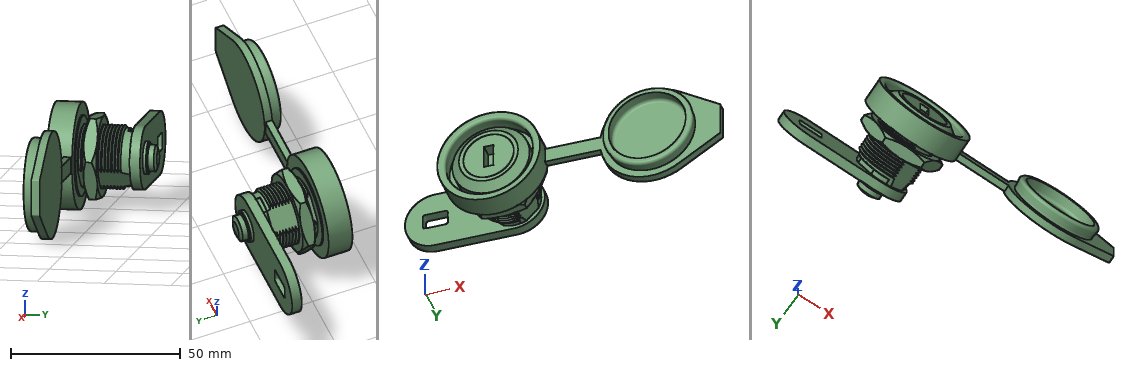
import cadquery as cq
import math


HEAD_BACK = 8.0
HEAD_RADIUS = 12.0
HEAD_FACE_RADIUS = 9.2
HEAD_CONE_DEPTH = 2.2
PLUG_RADIUS = 7.8
PLUG_RECESS = 0.1
KEYWAY_WIDTH = 2.9
KEYWAY_HEIGHT = 7.5
KEYWAY_DEPTH = 4.2

CREST_RADIUS = 9.5
ROOT_RADIUS = 8.8
PITCH = 1.0
CREST_COUNT = 13
FIRST_CREST_Y = 8.5
NECK_END_RADIUS = 8.5
FLAT_OFFSET = 8.0

STOP_START = 22.0
STOP_RADIUS = 8.4
STOP_FLAT_OFFSET = 7.7
STOP_RIM_START_X = 2.1

CAM_FRONT = 23.7
CAM_THICKNESS = 3.1
CAM_END_RADIUS = 9.5
CAM_REACH = 24.6
CAM_SLOT_LENGTH = 7.8
CAM_SLOT_HEIGHT = 5.0
CAM_SLOT_CORNER = 0.8

SCREW_END = 30.6
WASHER_RADIUS = 4.9
WASHER_THICKNESS = 0.9
COLLAR_RADIUS = 4.3
COLLAR_THICKNESS = 0.4
SCREW_RADIUS = 4.0
SCREW_BEVEL_DEPTH = 0.6
SCREW_BEVEL_WIDTH = 1.6

NUT_FRONT = 10.2
NUT_THICKNESS = 4.0
NUT_ACROSS_FLATS = 24.0
NUT_FACE_RADIUS = 12.0
NUT_TURN = 2.5
NUT_BEVEL_ANGLE = 30.0

RING_RADIUS = 16.0
RING_BACK = 7.6
RING_BORE = 13.6
RING_MOUTH_FILLET = 0.9
RING_CONE_BACK = 3.3
RING_FLOOR = 5.6
LID_X = 48.9
LID_FRONT = 5.1
TAB_REACH = 21.5
TAB_HALF_HEIGHT = 5.3
TAB_CORNER = 0.6
STRAP_HEIGHT = 4.8
STRAP_BACK = 7.3
BOSS_RADIUS = 14.0
BOSS_FRONT = 1.3
BOSS_ROUND = 0.9
BOSS_NECK_RADIUS = 13.7
BOSS_NECK_LENGTH = 0.7
POCKET_RADIUS = 12.0
POCKET_FILLET = 1.0


def turned(points):
    """Revolve a closed (radius, y) outline about the Y axis."""
    return cq.Workplane("XY").polyline(points).close().revolve(360, (0, 0), (0, 1))


def sketch_at(y):
    """Plane across the lock axis, with +X right and +Z up; a negative extrude goes to +Y."""
    return cq.Workplane("XZ", origin=(0, y, 0))


def disc(radius, start, end):
    return sketch_at(start).circle(radius).extrude(start - end)


def trimmed_flat(body, offset, angle):
    """Cut away everything farther than offset from the axis in one direction of the XZ plane."""
    size = 2 * CREST_RADIUS
    length = CAM_FRONT - HEAD_BACK
    cutter = cq.Workplane("XY").box(size, length, size, centered=(False, False, True))
    cutter = cutter.translate((offset, HEAD_BACK, 0)).rotate((0, 0, 0), (0, 1, 0), -angle)
    return body.cut(cutter)


def lock_head():
    head = turned([
        (0, PLUG_RECESS),
        (PLUG_RADIUS, PLUG_RECESS),
        (PLUG_RADIUS, 0),
        (HEAD_FACE_RADIUS, 0),
        (HEAD_RADIUS, HEAD_CONE_DEPTH),
        (HEAD_RADIUS, HEAD_BACK),
        (0, HEAD_BACK),
    ])
    keyway = sketch_at(0).rect(KEYWAY_WIDTH, KEYWAY_HEIGHT).extrude(-KEYWAY_DEPTH)
    return head.cut(keyway)


def threaded_barrel():
    """Ring-shaped thread ridges and a plain tapered neck, with a flat on two opposite sides."""
    outline = [(0, HEAD_BACK), (ROOT_RADIUS, HEAD_BACK)]
    for i in range(CREST_COUNT):
        crest_y = FIRST_CREST_Y + i * PITCH
        if i > 0:
            outline.append((ROOT_RADIUS, crest_y - PITCH / 2))
        outline.append((CREST_RADIUS, crest_y))
    thread_end = crest_y + PITCH / 2
    outline += [(ROOT_RADIUS, thread_end), (NECK_END_RADIUS, CAM_FRONT), (0, CAM_FRONT)]
    barrel = turned(outline)
    for angle in (135, 315):
        barrel = trimmed_flat(barrel, FLAT_OFFSET, angle)
    return barrel.cut(stop_notch())


def stop_notch():
    """Space cut from the barrel rim, leaving a disc with two flats that limits the turn."""
    stop = disc(STOP_RADIUS, STOP_START, CAM_FRONT)
    for angle in (135, 225):
        stop = trimmed_flat(stop, STOP_FLAT_OFFSET, angle)
    notch = trimmed_flat(disc(HEAD_RADIUS, STOP_START, CAM_FRONT), STOP_RIM_START_X, 0)
    return notch.cut(stop)


def cam():
    length = CAM_REACH + 2 * CAM_END_RADIUS
    plate = (
        sketch_at(CAM_FRONT)
        .center(-CAM_REACH / 2, 0)
        .slot2D(length, 2 * CAM_END_RADIUS)
        .extrude(-CAM_THICKNESS)
    )
    slot = (
        sketch_at(CAM_FRONT)
        .center(-CAM_REACH, 0)
        .rect(CAM_SLOT_LENGTH, CAM_SLOT_HEIGHT)
        .extrude(-CAM_THICKNESS)
        .edges("|Y")
        .fillet(CAM_SLOT_CORNER)
    )
    return plate.cut(slot)


def cam_screw():
    cam_back = CAM_FRONT + CAM_THICKNESS
    washer_back = cam_back + WASHER_THICKNESS
    collar_back = washer_back + COLLAR_THICKNESS
    return turned([
        (0, cam_back),
        (WASHER_RADIUS, cam_back),
        (WASHER_RADIUS, washer_back),
        (COLLAR_RADIUS, washer_back),
        (COLLAR_RADIUS, collar_back),
        (SCREW_RADIUS, collar_back),
        (SCREW_RADIUS, SCREW_END - SCREW_BEVEL_DEPTH),
        (SCREW_RADIUS - SCREW_BEVEL_WIDTH, SCREW_END),
        (0, SCREW_END),
    ])


def lock_body():
    body = lock_head()
    for piece in (threaded_barrel(), cam(), cam_screw()):
        body = body.union(piece)
    return body


def hexagon_nut():
    corner_radius = NUT_ACROSS_FLATS / math.sqrt(3)
    bevel_depth = (corner_radius - NUT_FACE_RADIUS) * math.tan(math.radians(NUT_BEVEL_ANGLE))
    nut_back = NUT_FRONT + NUT_THICKNESS
    hexagon = (
        sketch_at(NUT_FRONT)
        .polygon(6, 2 * corner_radius)
        .extrude(-NUT_THICKNESS)
        .rotate((0, 0, 0), (0, 1, 0), -NUT_TURN)
    )
    beveled_blank = turned([
        (CREST_RADIUS, NUT_FRONT),
        (NUT_FACE_RADIUS, NUT_FRONT),
        (corner_radius, NUT_FRONT + bevel_depth),
        (corner_radius, nut_back - bevel_depth),
        (NUT_FACE_RADIUS, nut_back),
        (CREST_RADIUS, nut_back),
    ])
    return hexagon.intersect(beveled_blank)


def cover_ring():
    """Ring around the lock head, with a rounded mouth, a widening bore and a floor."""
    ring = disc(RING_RADIUS, 0, RING_BACK).cut(disc(HEAD_RADIUS, 0, RING_BACK))
    mouth_radius = RING_BORE + RING_MOUTH_FILLET
    arc_inset = RING_MOUTH_FILLET * (1 - math.sqrt(0.5))
    cavity = (
        cq.Workplane("XY")
        .lineTo(mouth_radius, 0)
        .threePointArc((RING_BORE + arc_inset, arc_inset), (RING_BORE, RING_MOUTH_FILLET))
        .lineTo(BOSS_RADIUS, RING_CONE_BACK)
        .lineTo(BOSS_RADIUS, RING_FLOOR)
        .lineTo(0, RING_FLOOR)
        .close()
        .revolve(360, (0, 0), (0, 1))
    )
    return ring.cut(cavity)


def lid_plate():
    """Round plate whose edge runs tangentially into a blunt pull tab."""
    tab_distance = math.hypot(TAB_REACH, TAB_HALF_HEIGHT)
    tangent_angle = math.atan2(TAB_HALF_HEIGHT, TAB_REACH) + math.acos(RING_RADIUS / tab_distance)
    tangent_x = RING_RADIUS * math.cos(tangent_angle)
    tangent_z = RING_RADIUS * math.sin(tangent_angle)
    plate = (
        sketch_at(LID_FRONT)
        .moveTo(tangent_x, tangent_z)
        .threePointArc((-RING_RADIUS, 0), (tangent_x, -tangent_z))
        .lineTo(TAB_REACH, -TAB_HALF_HEIGHT)
        .lineTo(TAB_REACH, TAB_HALF_HEIGHT)
        .close()
        .extrude(LID_FRONT - RING_BACK)
    )
    return plate.edges("|Y and >X").fillet(TAB_CORNER)


def lid_boss():
    """Hollow plug that widens from a short neck to a rounded front rim."""
    neck_front = LID_FRONT - BOSS_NECK_LENGTH
    rim_back = BOSS_FRONT + BOSS_ROUND
    arc_inset = BOSS_ROUND * (1 - math.sqrt(0.5))
    boss = (
        cq.Workplane("XY")
        .moveTo(0, LID_FRONT)
        .lineTo(BOSS_NECK_RADIUS, LID_FRONT)
        .lineTo(BOSS_NECK_RADIUS, neck_front)
        .lineTo(BOSS_RADIUS, rim_back)
        .threePointArc(
            (BOSS_RADIUS - arc_inset, BOSS_FRONT + arc_inset),
            (BOSS_RADIUS - BOSS_ROUND, BOSS_FRONT),
        )
        .lineTo(0, BOSS_FRONT)
        .close()
        .revolve(360, (0, 0), (0, 1))
    )
    pocket = disc(POCKET_RADIUS, BOSS_FRONT, LID_FRONT).faces(">Y").edges().fillet(POCKET_FILLET)
    return boss.cut(pocket)


def dust_cover():
    strap_start = (BOSS_RADIUS + RING_RADIUS) / 2
    strap_end = LID_X - BOSS_RADIUS
    strap = (
        sketch_at(LID_FRONT)
        .center((strap_start + strap_end) / 2, 0)
        .rect(strap_end - strap_start, STRAP_HEIGHT)
        .extrude(LID_FRONT - STRAP_BACK)
    )
    lid = lid_plate().union(lid_boss()).translate((LID_X, 0, 0))
    return cover_ring().union(strap).union(lid)


lock = lock_body()
nut = hexagon_nut()
cover = dust_cover()

result = cq.Compound.makeCompound([lock.val(), nut.val(), cover.val()])